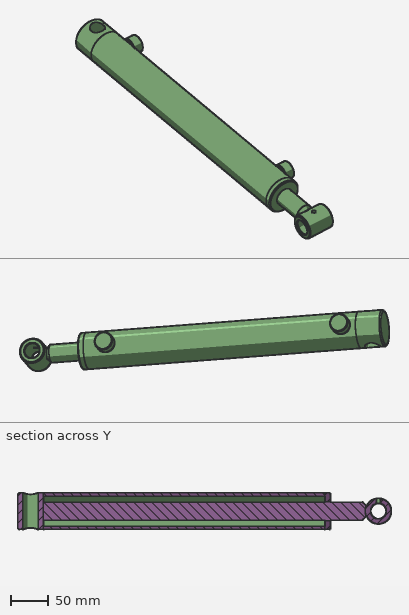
import cadquery as cq


overall_length = 505.0
overall_width = 65.0
barrel_diameter = 50.0
barrel_radius = barrel_diameter / 2

base_length = 35.0
base_chamfer = 2.0
cross_hole_diameter = 20.5
cross_hole_x = base_length / 2

tube_length = 380.0
tube_bore = 40.0
tube_end_x = base_length + tube_length

gland_length = 8.0
gland_chamfer = 1.5
gland_end_x = tube_end_x + gland_length

eye_diameter = 35.0
eye_width = 41.0
eye_bore = 20.5
eye_edge_chamfer = 1.5
eye_bore_chamfer = 1.0
grease_hole_diameter = 5.5
eye_x = overall_length - eye_diameter / 2

rod_diameter = 25.0
rod_chamfer = 6.0
rod_shoulder_x = 466.0
rod_end_x = rod_shoulder_x + rod_chamfer

port_diameter = 25.0
port_length = overall_width - barrel_diameter
port_chamfer = 1.0
port_positions = (54.5, 383.0)


def cylinder_along_x(start_x, end_x, diameter):
    """Solid cylinder on the main axis between two X stations."""
    return cq.Workplane("YZ", origin=(start_x, 0, 0)).circle(diameter / 2).extrude(end_x - start_x)


def cross_cylinder(diameter):
    """Cylinder along Y on the eye centre, spanning the full eye width."""
    profile = cq.Workplane("XZ", origin=(eye_x, eye_width / 2, 0)).circle(diameter / 2)
    return profile.extrude(eye_width)


def make_base():
    """Rear plug with chamfered rear rim and a vertical mounting hole."""
    body = cylinder_along_x(0, base_length, barrel_diameter).faces("<X").chamfer(base_chamfer)
    hole = cq.Workplane("XY", origin=(cross_hole_x, 0, -barrel_radius)).circle(cross_hole_diameter / 2)
    return body.cut(hole.extrude(barrel_diameter))


def make_tube():
    """Open-ended barrel between the base and the gland."""
    body = cylinder_along_x(base_length, tube_end_x, barrel_diameter)
    return body.cut(cylinder_along_x(base_length, tube_end_x, tube_bore))


def make_gland():
    """Front ring that closes the tube and guides the rod."""
    body = cylinder_along_x(tube_end_x, gland_end_x, barrel_diameter).faces(">X").chamfer(gland_chamfer)
    return body.cut(cylinder_along_x(tube_end_x, gland_end_x, rod_diameter))


def make_rod():
    """Rod from the base face to the eye, its tapered tip saddled onto the eye."""
    body = cylinder_along_x(base_length, rod_end_x, rod_diameter).faces(">X").chamfer(rod_chamfer)
    return body.cut(cross_cylinder(eye_diameter))


def make_eye():
    """Cross eye with a chamfered pin bore and a grease hole in its top wall."""
    body = cross_cylinder(eye_diameter).faces("<Y or >Y").chamfer(eye_edge_chamfer)
    grease_hole = cq.Workplane("XY").center(eye_x, 0).circle(grease_hole_diameter / 2).extrude(eye_diameter / 2)
    body = body.cut(cross_cylinder(eye_bore))
    bore_rims = body.faces("<Y or >Y").edges(cq.selectors.RadiusNthSelector(0))
    return bore_rims.chamfer(eye_bore_chamfer).cut(grease_hole)


def make_port(port_x):
    """Round port boss standing on the +Y side of the tube, chamfered at both ends."""
    body = cq.Workplane("ZX", origin=(port_x, barrel_radius, 0)).circle(port_diameter / 2).extrude(port_length)
    return body.faces("<Y or >Y").chamfer(port_chamfer)


base = make_base()
tube = make_tube()
gland = make_gland()
rod = make_rod()
eye = make_eye()
ports = [make_port(port_x) for port_x in port_positions]

result = cq.Compound.makeCompound(
    [base.val(), tube.val(), gland.val(), rod.val(), eye.val(), *[port.val() for port in ports]]
)